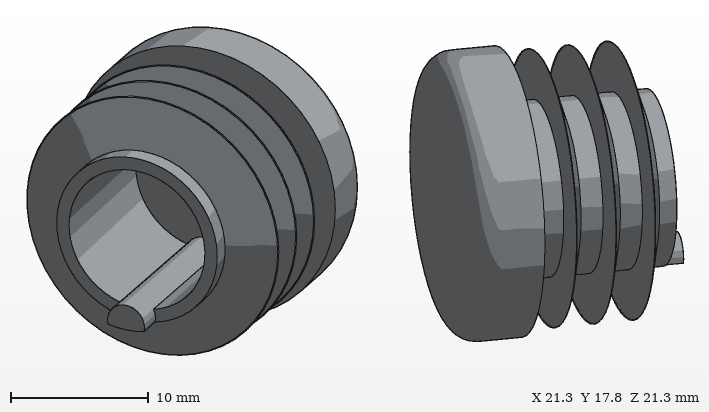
import cadquery as cq


overall_length = 17.8
head_radius = 10.65
head_thickness = 5.0
head_edge_radius = 1.77

shank_radius = 6.5
bore_radius = 5.5
shank_length = 11.0

fin_count = 3
fin_radius = 10.2
fin_rim_bevel = 0.06
fin_thickness = 1.3
first_fin_offset = 2.5
last_fin_offset = shank_length - 2 * fin_thickness
fin_pitch = (last_fin_offset - first_fin_offset) / (fin_count - 1)

pin_radius = 1.5
pin_center_z = -6.0
pin_length = overall_length - head_thickness


def cylinder(radius, length, z=0):
    """Cylinder running from Y = 0 towards -Y, its axis at height z."""
    return cq.Workplane("XZ").center(0, z).circle(radius).extrude(length)


def make_head():
    disc = cylinder(head_radius, -head_thickness)
    return disc.faces(">Y").edges().fillet(head_edge_radius)


def make_fin(offset):
    """Fin flat towards the head and tapering down to the shank behind a small bevelled rim."""
    flat_y = -offset
    profile = (
        cq.Workplane("XY")
        .moveTo(0, flat_y)
        .lineTo(fin_radius, flat_y)
        .lineTo(fin_radius - fin_rim_bevel, flat_y - fin_rim_bevel)
        .lineTo(shank_radius, flat_y - fin_thickness)
        .lineTo(0, flat_y - fin_thickness)
        .close()
    )
    return profile.revolve(360, (0, 0, 0), (0, 1, 0))


def make_pin():
    """Round pin whose outer side is trimmed flush with the shank surface."""
    return cylinder(pin_radius, pin_length, pin_center_z).intersect(cylinder(shank_radius, pin_length))


result = make_head().union(cylinder(shank_radius, shank_length))
for index in range(fin_count):
    result = result.union(make_fin(first_fin_offset + index * fin_pitch))

result = result.cut(cylinder(bore_radius, shank_length))
result = result.union(make_pin())